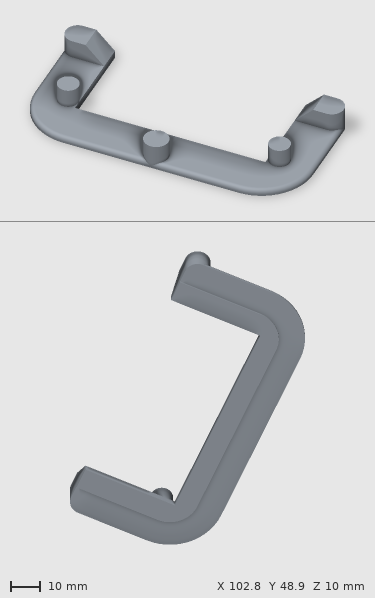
import cadquery as cq

length = 102.8
depth = 48.9
height = 10.0

pad_thickness = 0.6
plate_top = 3.0
leg_width = 16.2
bridge_width = 15.9
corner_radius = 19.0
edge_fillet = 1.5

pad_inset = 8.8

post_diameter = 8.9
pin_diameter = 7.7
end_post_flat = 9.4

post_radius = post_diameter / 2
half_length = length / 2
inner_half = half_length - leg_width
end_center_y = depth - post_radius


def rounded_slab(inset, bottom, top):
    """Slab with rounded front corners, inset from the sides and front."""
    width = length - 2 * inset
    slab = (
        cq.Workplane("XY", origin=(0, 0, bottom))
        .rect(width, depth - inset)
        .extrude(top - bottom)
        .translate((0, (depth + inset) / 2, 0))
    )
    return slab.edges("|Z and <Y").fillet(corner_radius - inset)


def cylinder(x, y, diameter):
    """Upright cylinder from the plate underside to the full height."""
    return (
        cq.Workplane("XY", origin=(x, y, pad_thickness))
        .circle(diameter / 2)
        .extrude(height - pad_thickness)
    )


def end_post(side):
    """Post rounded on the outside, sloping down to the inner edge of the leg."""
    center_x = half_length - post_radius
    flat_end_x = half_length - end_post_flat
    wedge = (
        cq.Workplane("XZ", origin=(0, depth, 0))
        .moveTo(side * center_x, pad_thickness)
        .lineTo(side * center_x, height)
        .lineTo(side * flat_end_x, height)
        .lineTo(side * inner_half, plate_top)
        .lineTo(side * inner_half, pad_thickness)
        .close()
        .extrude(post_diameter)
    )
    return wedge.union(cylinder(side * center_x, end_center_y, post_diameter))


plate = rounded_slab(0, pad_thickness, plate_top)
plate = plate.faces("<Y").edges(">Z").fillet(edge_fillet)
leg_end_trim = cq.Workplane("XY").box(
    length, post_radius, height, centered=(True, False, False)
).translate((0, end_center_y, 0))
plate = plate.cut(leg_end_trim)

pad = rounded_slab(pad_inset, 0, pad_thickness)
opening = cq.Workplane("XY").box(
    2 * inner_half, depth - bridge_width, height, centered=(True, False, False)
).translate((0, bridge_width, 0))
result = plate.union(pad).cut(opening)

result = result.union(cylinder(0, post_radius, post_diameter))

for side in (-1, 1):
    result = result.union(end_post(side))
    pin_x = side * (inner_half + pin_diameter / 2)
    result = result.union(cylinder(pin_x, corner_radius, pin_diameter))